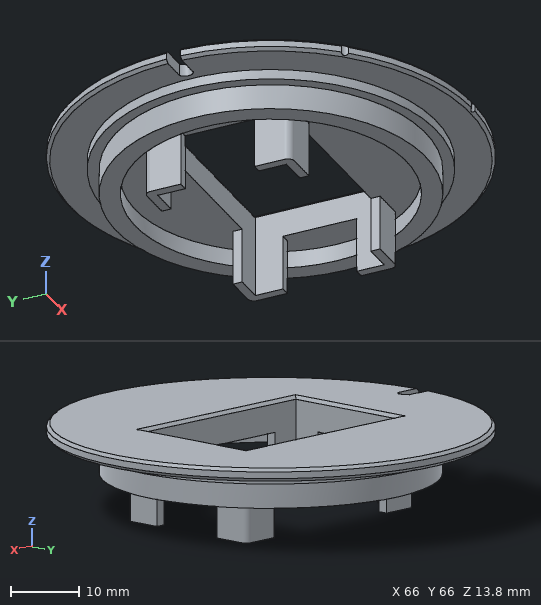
import cadquery as cq
import math

plate_height = 2.0
step_height = 1.6
body_height = 4.0
leg_height = 6.15
recess_depth = 2.8

plate_diameter = 66.0
step_diameter = 54.0
body_diameter = 50.5
recess_diameter = 44.2
rim_chamfer = 0.495

window_length = 33.0
window_width = 21.0
window_chamfer = 0.5
leg_thickness = 1.5
leg_span = 6.0
leg_corner_radius = 1.05

slot_width = 2.25
slot_depth = 5.1
slot_end_bulge = 0.6
mark_diameter = 1.3
mark_depth = 0.3
mark_angles = (-90, -135)

body_bottom = leg_height
step_bottom = body_bottom + body_height
plate_bottom = step_bottom + step_height
plate_top = plate_bottom + plate_height
recess_top = body_bottom + recess_depth


def disc(diameter, bottom, height):
    return cq.Workplane("XY", origin=(0, 0, bottom)).circle(diameter / 2).extrude(height)


def block(length, width, bottom, top):
    return cq.Workplane("XY", origin=(0, 0, bottom)).rect(length, width).extrude(top - bottom)


def stepped_disc():
    plate = disc(plate_diameter, plate_bottom, plate_height).edges().chamfer(rim_chamfer)
    step = disc(step_diameter, step_bottom, step_height)
    body = disc(body_diameter, body_bottom, body_height)
    recess = disc(recess_diameter, body_bottom, recess_depth)
    return plate.union(step).union(body).cut(recess)


def corner_legs():
    """Four L-shaped legs, left after two crossing gaps split a rectangular tube."""
    outer_length = window_length + 2 * leg_thickness
    outer_width = window_width + 2 * leg_thickness
    tube = block(outer_length, outer_width, 0, recess_top).edges("|Z").fillet(leg_corner_radius)
    gap_along_x = block(outer_length - 2 * leg_span, outer_width, 0, recess_top)
    gap_along_y = block(outer_length, outer_width - 2 * leg_span, 0, recess_top)
    return tube.cut(gap_along_x).cut(gap_along_y)


def window():
    opening = block(window_length, window_width, 0, plate_top)
    flare = (
        cq.Workplane("XY", origin=(0, 0, plate_top - window_chamfer))
        .rect(window_length, window_width)
        .workplane(offset=window_chamfer)
        .rect(window_length + 2 * window_chamfer, window_width + 2 * window_chamfer)
        .loft(ruled=True)
    )
    return opening.union(flare)


def index_slot():
    """Slot with a shallow arc end, running in from the -X side of the rim."""
    rim_x = -plate_diameter / 2
    tip_x = rim_x + slot_depth
    shoulder_x = tip_x - slot_end_bulge
    half_width = slot_width / 2
    return (
        cq.Workplane("XY", origin=(0, 0, plate_bottom))
        .moveTo(rim_x, -half_width)
        .lineTo(shoulder_x, -half_width)
        .threePointArc((tip_x, 0), (shoulder_x, half_width))
        .lineTo(rim_x, half_width)
        .close()
        .extrude(plate_height)
    )


def rim_mark(angle):
    """Small upright groove whose axis lies just outside the rim."""
    radius = plate_diameter / 2 + mark_diameter / 2 - mark_depth
    x = radius * math.cos(math.radians(angle))
    y = radius * math.sin(math.radians(angle))
    return disc(mark_diameter, plate_bottom, plate_height).translate((x, y, 0))


result = stepped_disc().union(corner_legs()).cut(window()).cut(index_slot())
for mark_angle in mark_angles:
    result = result.cut(rim_mark(mark_angle))